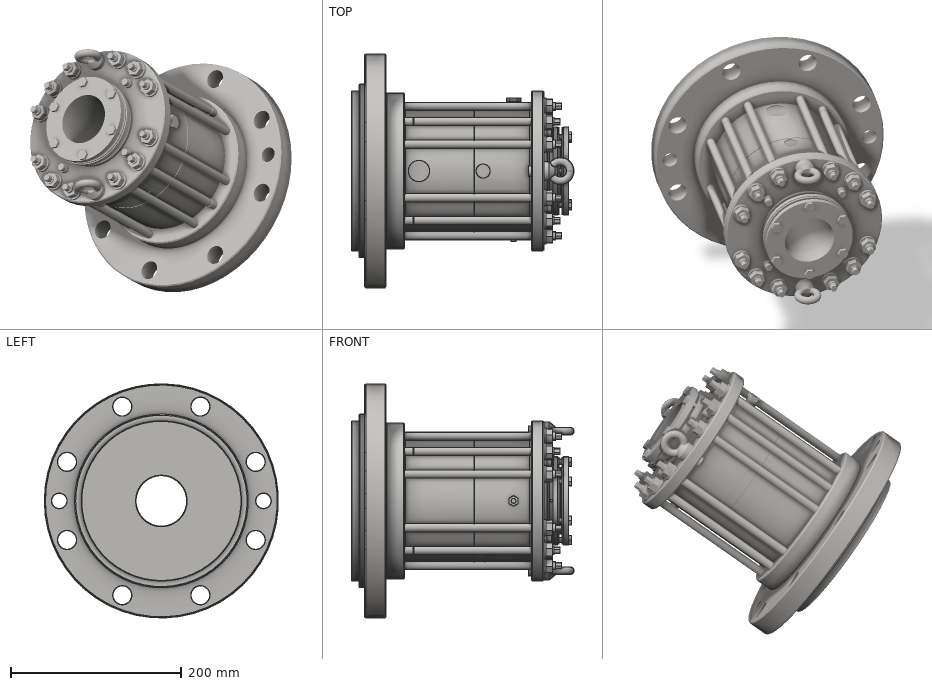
import cadquery as cq
import math

TOTAL_LENGTH = 261.2

SPIGOT_END = 8.5
SPIGOT_RADIUS = 94.0
SHOULDER_END = 15.5
SHOULDER_RADIUS = 102.0
FLANGE_END = 40.5
FLANGE_RADIUS = 137.5
HUB_END = 62.5
HUB_RADIUS = 91.5
BODY_RADIUS = 74.2
BODY_SEAM = 144.0
BODY_END = 209.3
END_PLATE_START = 211.2
END_PLATE_END = 225.8
END_PLATE_RADIUS = 94.0
SEAM_WIDTH = 1.0
SEAM_DEPTH = 1.0
EDGE_CHAMFER = 1.5
SMALL_CHAMFER = 0.5
BORE_DIAMETER = 59.5

FLANGE_HOLE_CIRCLE_RADIUS = 120.0
BOLT_HOLE_DIAMETER = 22.0
BOLT_HOLE_COUNT = 8
SIDE_HOLE_DIAMETER = 18.0

ROD_CIRCLE_RADIUS = 82.2
ROD_DIAMETER = 9.5
ROD_PITCH_ANGLE = 22.5
LONG_ROD_END = 239.5
SHORT_ROD_END = 238.0
ROD_TIP_LENGTH = 7.2
ROD_TIP_CORNERS = 8.0
WASHER_DIAMETER = 19.8
WASHER_THICKNESS = 2.8
NUT_CORNERS = 18.2
NUT_THICKNESS = 7.7
ROD_GROOVE_START = 72.0
ROD_GROOVE_WIDTH = 1.5
ROD_GROOVE_DEPTH = 0.5

GLAND_END = 229.4
GLAND_RADIUS = 49.5
SLEEVE_RADIUS = 34.5
COLLAR_RADIUS = 37.0
COLLAR_START = 230.7
COLLAR_END = 232.6
DISC_RADIUS = 52.0
DISC_RIM_RADIUS = 51.0
INNER_DISC_START = 236.8
INNER_DISC_STEP = 241.7
INNER_DISC_END = 243.6
OUTER_DISC_START = 247.2
OUTER_DISC_STEP = 249.2
OUTER_DISC_END = 255.0
SPACER_RADIUS = 39.0
SPACER_GROOVE_X = 245.5
SPACER_GROOVE_WIDTH = 0.5
SPACER_GROOVE_DEPTH = 0.8
GLAND_STUD_CIRCLE_RADIUS = 62.7
GLAND_STUD_DIAMETER = 8.2
GLAND_STUD_END = 235.5
GLAND_STUD_WASHER_DIAMETER = 10.0
DISC_BOLT_CIRCLE_RADIUS = 46.0
DISC_BOLT_DIAMETER = 6.0
DISC_BOLT_HEAD_CORNERS = 12.5
DISC_BOLT_HEAD_HEIGHT = 3.5
DISC_BOLT_COUNT = 6
CROSS_HOLE_X = 234.8
CROSS_HOLE_DIAMETER = 2.5

EYE_OUTER_DIAMETER = 31.5
EYE_BAR_DIAMETER = 8.8
EYE_AXIS_RADIUS = 82.0
EYE_COLLAR_DIAMETER = 22.0
EYE_COLLAR_HEIGHT = 6.3
EYE_CONE_HEIGHT = 6.5
EYE_CONE_BASE_DIAMETER = 22.0
EYE_CONE_TIP_DIAMETER = 11.0
EYE_SHANK_DIAMETER = 12.5
EYE_SHANK_START = 207.5

LARGE_PORT_X = 79.2
LARGE_PORT_DIAMETER = 25.0
SMALL_PORT_X = 154.5
SMALL_PORT_DIAMETER = 16.5
PORT_FLOOR_DEPTH = 1.5
FITTING_X = 190.3
NIPPLE_HEX_CORNERS = 12.5
NIPPLE_HEX_TOP = 78.0
NIPPLE_DIAMETER = 5.5
NIPPLE_TOP = 82.8
PLUG_NECK_DIAMETER = 13.2
PLUG_HEAD_BASE = 82.0
PLUG_HEAD_TOP = 85.8
PLUG_HEAD_CORNERS = 17.0
PLATE_START = 156.5
PLATE_END = 205.5
PLATE_HALF_ANGLE = 29.0
PLATE_THICKNESS = 0.5
PLATE_SCREW_DIAMETER = 3.3
PLATE_SCREW_HEIGHT = 0.8
PLATE_SCREW_INSET = 4.0
PLATE_SCREW_ANGLE = 24.5

EMBED = 2.8


def disc(start, end, radius):
    """Disc around the main axis between two X stations."""
    return cq.Workplane("YZ", origin=(start, 0, 0)).circle(radius).extrude(end - start)


def pin(start, end, diameter, y=0.0, z=0.0):
    """Round pin parallel to the main axis."""
    return cq.Workplane("YZ", origin=(start, y, z)).circle(diameter / 2).extrude(end - start)


def hex_prism(start, end, corners, y=0.0, z=0.0):
    """Hexagonal prism parallel to the main axis with corners along Y."""
    return cq.Workplane("YZ", origin=(start, y, z)).polygon(6, corners).extrude(end - start)


def ring_groove(start, width, radius, depth):
    """Cutter for a groove around a cylinder of the given radius."""
    end = start + width
    return disc(start, end, radius).cut(disc(start, end, radius - depth))


def turn(shape, angle):
    """Rotate about the main axis by an angle in degrees, from +Y toward +Z."""
    return shape.rotate((0, 0, 0), (1, 0, 0), angle)


def make_housing():
    spigot = disc(0, SPIGOT_END, SPIGOT_RADIUS).faces("<X").chamfer(SMALL_CHAMFER)
    shoulder = disc(SPIGOT_END, SHOULDER_END, SHOULDER_RADIUS).faces("<X").chamfer(EDGE_CHAMFER)
    flange = disc(SHOULDER_END, FLANGE_END, FLANGE_RADIUS).edges().chamfer(EDGE_CHAMFER)
    hub = disc(FLANGE_END, HUB_END, HUB_RADIUS).edges().chamfer(EDGE_CHAMFER)
    body = disc(HUB_END, END_PLATE_START, BODY_RADIUS)
    end_plate = disc(END_PLATE_START, END_PLATE_END, END_PLATE_RADIUS).edges().chamfer(EDGE_CHAMFER)
    housing = spigot.union(shoulder).union(flange).union(hub).union(body).union(end_plate)

    seams = (
        (HUB_END, SEAM_WIDTH),
        (BODY_SEAM - SEAM_WIDTH / 2, SEAM_WIDTH),
        (BODY_END, END_PLATE_START - BODY_END),
    )
    for start, width in seams:
        housing = housing.cut(ring_groove(start, width, BODY_RADIUS, SEAM_DEPTH))
    return housing


def make_flange_holes():
    side_hole = pin(0, FLANGE_END, SIDE_HOLE_DIAMETER, y=FLANGE_HOLE_CIRCLE_RADIUS)
    bolt_hole = pin(0, FLANGE_END, BOLT_HOLE_DIAMETER, y=FLANGE_HOLE_CIRCLE_RADIUS)
    holes = side_hole.union(turn(side_hole, 180))
    pitch = 360 / BOLT_HOLE_COUNT
    for index in range(BOLT_HOLE_COUNT):
        holes = holes.union(turn(bolt_hole, (index + 0.5) * pitch))
    return holes


def make_tie_rod(rod_end, grooved):
    """Tie rod on the +Y side with washer, nut and hexagonal tip."""
    y = ROD_CIRCLE_RADIUS
    nut_start = END_PLATE_END + WASHER_THICKNESS
    rod = pin(HUB_END - EMBED, rod_end, ROD_DIAMETER, y)
    if grooved:
        groove = ring_groove(ROD_GROOVE_START, ROD_GROOVE_WIDTH, ROD_DIAMETER / 2, ROD_GROOVE_DEPTH)
        rod = rod.cut(groove.translate((0, y, 0)))
    washer = pin(END_PLATE_END, nut_start, WASHER_DIAMETER, y)
    nut = hex_prism(nut_start, nut_start + NUT_THICKNESS, NUT_CORNERS, y)
    tip = hex_prism(rod_end, rod_end + ROD_TIP_LENGTH, ROD_TIP_CORNERS, y)
    return rod.union(washer).union(nut).union(tip)


def make_gland_stack():
    stack = disc(END_PLATE_END, GLAND_END, GLAND_RADIUS)
    stack = stack.union(disc(GLAND_END, INNER_DISC_START, SLEEVE_RADIUS))
    stack = stack.union(disc(COLLAR_START, COLLAR_END, COLLAR_RADIUS))
    stack = stack.union(disc(INNER_DISC_START, INNER_DISC_STEP, DISC_RADIUS))
    stack = stack.union(disc(INNER_DISC_STEP, INNER_DISC_END, DISC_RIM_RADIUS))
    stack = stack.union(disc(INNER_DISC_END, OUTER_DISC_START, SPACER_RADIUS))
    stack = stack.cut(ring_groove(SPACER_GROOVE_X, SPACER_GROOVE_WIDTH, SPACER_RADIUS, SPACER_GROOVE_DEPTH))
    stack = stack.union(disc(OUTER_DISC_START, OUTER_DISC_STEP, DISC_RIM_RADIUS))
    stack = stack.union(disc(OUTER_DISC_STEP, OUTER_DISC_END, DISC_RADIUS))

    stud = pin(END_PLATE_END, GLAND_STUD_END, GLAND_STUD_DIAMETER, y=GLAND_STUD_CIRCLE_RADIUS)
    stud = stud.union(pin(END_PLATE_END, GLAND_END, GLAND_STUD_WASHER_DIAMETER, y=GLAND_STUD_CIRCLE_RADIUS))
    for quadrant in range(4):
        stack = stack.union(turn(stud, 45 + 90 * quadrant))

    for index in range(DISC_BOLT_COUNT):
        angle = math.radians((index + 0.5) * 360 / DISC_BOLT_COUNT)
        y = DISC_BOLT_CIRCLE_RADIUS * math.cos(angle)
        z = DISC_BOLT_CIRCLE_RADIUS * math.sin(angle)
        head_end = OUTER_DISC_END + DISC_BOLT_HEAD_HEIGHT
        stack = stack.union(pin(INNER_DISC_END, OUTER_DISC_START, DISC_BOLT_DIAMETER, y, z))
        stack = stack.union(hex_prism(OUTER_DISC_END, head_end, DISC_BOLT_HEAD_CORNERS, y, z))

    cross_hole = (
        cq.Workplane("XZ", origin=(CROSS_HOLE_X, 0, 0))
        .circle(CROSS_HOLE_DIAMETER / 2)
        .extrude(DISC_RADIUS, both=True)
    )
    return stack.cut(cross_hole)


def make_eye_bolt():
    """Eye bolt at the top, its ring lying parallel to the XY plane."""
    z = EYE_AXIS_RADIUS
    collar_end = END_PLATE_END + EYE_COLLAR_HEIGHT
    ring_x = TOTAL_LENGTH - EYE_OUTER_DIAMETER / 2
    ring_radius = (EYE_OUTER_DIAMETER - EYE_BAR_DIAMETER) / 2
    shank = pin(EYE_SHANK_START, END_PLATE_END, EYE_SHANK_DIAMETER, z=z)
    collar = pin(END_PLATE_END, collar_end, EYE_COLLAR_DIAMETER, z=z)
    cone = (
        cq.Workplane("YZ", origin=(collar_end, 0, z))
        .circle(EYE_CONE_BASE_DIAMETER / 2)
        .workplane(offset=EYE_CONE_HEIGHT)
        .circle(EYE_CONE_TIP_DIAMETER / 2)
        .loft()
    )
    ring = cq.Workplane(cq.Solid.makeTorus(ring_radius, EYE_BAR_DIAMETER / 2, cq.Vector(ring_x, 0, z)))
    return shank.union(collar).union(cone).union(ring)


def make_port_pocket(x, diameter):
    """Shallow flat-bottomed pocket in the top of the body."""
    floor = BODY_RADIUS - PORT_FLOOR_DEPTH
    return cq.Workplane("XY", origin=(x, 0, floor)).circle(diameter / 2).extrude(2 * PORT_FLOOR_DEPTH)


def make_grease_nipple():
    """Hexagonal nipple pointing along -Y, with corners up and down."""
    base = cq.Workplane("XZ", origin=(FITTING_X, EMBED - BODY_RADIUS, 0))
    hexagon = base.transformed(rotate=(0, 0, 90)).polygon(6, NIPPLE_HEX_CORNERS)
    hexagon = hexagon.extrude(NIPPLE_HEX_TOP - BODY_RADIUS + EMBED)
    return hexagon.union(base.circle(NIPPLE_DIAMETER / 2).extrude(NIPPLE_TOP - BODY_RADIUS + EMBED))


def make_side_plug():
    """Hex-headed plug pointing along +Y."""
    neck = (
        cq.Workplane("XZ", origin=(FITTING_X, PLUG_HEAD_BASE, 0))
        .circle(PLUG_NECK_DIAMETER / 2)
        .extrude(PLUG_HEAD_BASE - BODY_RADIUS + EMBED)
    )
    head = (
        cq.Workplane("XZ", origin=(FITTING_X, PLUG_HEAD_TOP, 0))
        .polygon(6, PLUG_HEAD_CORNERS)
        .extrude(PLUG_HEAD_TOP - PLUG_HEAD_BASE)
    )
    return neck.union(head)


def make_nameplate():
    """Thin curved plate on the underside, held by a screw at each corner."""
    outer = BODY_RADIUS + PLATE_THICKNESS
    reach = 2 * outer * math.tan(math.radians(PLATE_HALF_ANGLE))
    wedge = (
        cq.Workplane("YZ", origin=(PLATE_START, 0, 0))
        .polyline([(0, 0), (-reach, -2 * outer), (reach, -2 * outer)])
        .close()
        .extrude(PLATE_END - PLATE_START)
    )
    shell = disc(PLATE_START, PLATE_END, outer).cut(disc(PLATE_START, PLATE_END, BODY_RADIUS - EMBED))
    plate = shell.intersect(wedge)
    for x in (PLATE_START + PLATE_SCREW_INSET, PLATE_END - PLATE_SCREW_INSET):
        for angle in (-PLATE_SCREW_ANGLE, PLATE_SCREW_ANGLE):
            screw = (
                cq.Workplane("XY", origin=(x, 0, -outer - PLATE_SCREW_HEIGHT))
                .circle(PLATE_SCREW_DIAMETER / 2)
                .extrude(EMBED + PLATE_SCREW_HEIGHT)
            )
            plate = plate.union(turn(screw, angle))
    return plate


part = make_housing().cut(make_flange_holes())
part = part.cut(make_port_pocket(LARGE_PORT_X, LARGE_PORT_DIAMETER))
part = part.cut(make_port_pocket(SMALL_PORT_X, SMALL_PORT_DIAMETER))
part = part.union(make_gland_stack())
part = part.union(make_grease_nipple())
part = part.union(make_side_plug())
part = part.union(make_nameplate())

part = part.cut(disc(0, TOTAL_LENGTH, BORE_DIAMETER / 2))
part = part.faces("<X").edges("%CIRCLE").edges(cq.selectors.RadiusNthSelector(0)).chamfer(SMALL_CHAMFER)

long_rod = make_tie_rod(LONG_ROD_END, grooved=False)
short_rod = make_tie_rod(SHORT_ROD_END, grooved=True)
for quadrant in range(4):
    start_angle = 90 * quadrant
    part = part.union(turn(long_rod, start_angle + ROD_PITCH_ANGLE))
    part = part.union(turn(short_rod, start_angle + 2 * ROD_PITCH_ANGLE))
    part = part.union(turn(long_rod, start_angle + 3 * ROD_PITCH_ANGLE))

eye_bolt = make_eye_bolt()
for angle in (0, 180):
    part = part.union(turn(eye_bolt, angle))

result = part